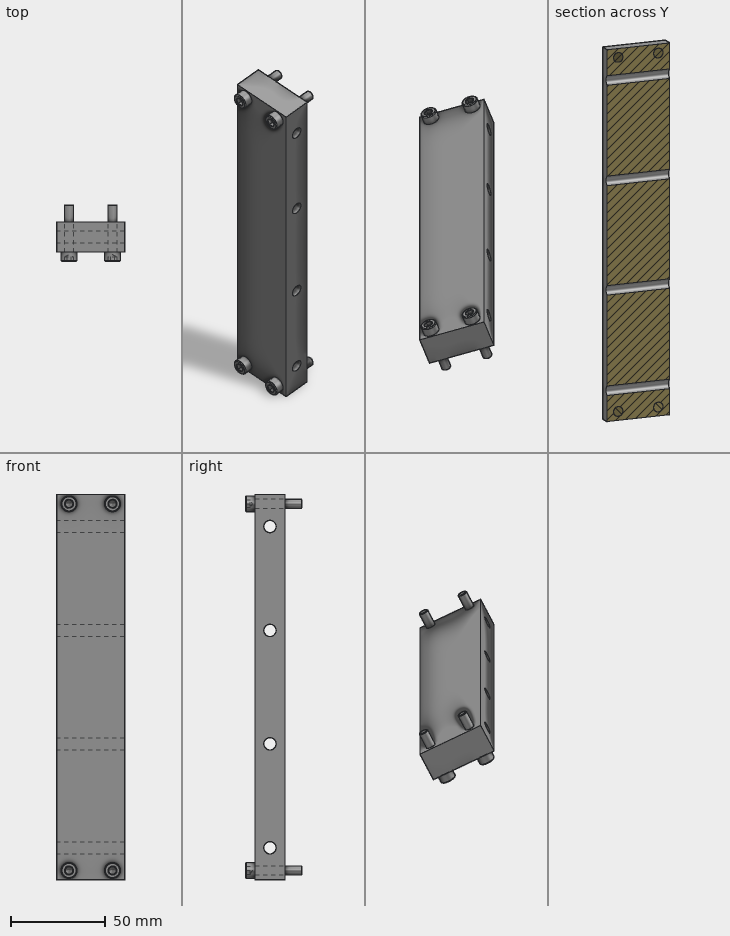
import cadquery as cq
import math

block_width = 36.0
block_depth = 16.0
block_height = 204.0
front_face_y = -block_depth / 2

cross_hole_diameter = 6.4
cross_hole_heights = [-85.0, -30.0, 30.0, 85.0]

screw_edge_x = 6.5
screw_edge_z = 5.0
screw_spacing_x = block_width - 2 * screw_edge_x
screw_spacing_z = block_height - 2 * screw_edge_z
shank_diameter = 5.0
shank_length = 25.0
shank_tip_diameter = 4.13
shank_tip_chamfer = (shank_diameter - shank_tip_diameter) / 2
head_diameter = 8.5
head_height = 5.0
head_chamfer = 0.5
head_top_y = front_face_y - head_height
socket_sides = 6
socket_across_flats = 4.0
socket_across_corners = socket_across_flats / math.cos(math.pi / socket_sides)
socket_depth = 2.5
socket_floor_half_angle = 60.0
socket_rim_half_angle = 45.0

screw_positions = [
    (side * screw_spacing_x / 2, end * screw_spacing_z / 2)
    for side in (-1, 1)
    for end in (-1, 1)
]


def front_plane(y):
    """Plane facing -Y at the given depth, with its local x and y along X and Z."""
    return cq.Workplane("XZ", origin=(0, y, 0))


def make_cone(base_diameter, base_y, half_angle):
    """Cone on the Y axis that narrows to a point toward +Y."""
    base_radius = base_diameter / 2
    length = base_radius / math.tan(math.radians(half_angle))
    cone = cq.Solid.makeCone(
        base_radius,
        0,
        length,
        pnt=cq.Vector(0, base_y, 0),
        dir=cq.Vector(0, 1, 0),
    )
    return cq.Workplane(cone)


def make_block():
    """Plain block with its cross holes and a close-fitting hole for each screw shank."""
    block = cq.Workplane("XY").box(block_width, block_depth, block_height)
    cross_holes = (
        cq.Workplane("YZ", origin=(-block_width / 2, 0, 0))
        .pushPoints([(0, height) for height in cross_hole_heights])
        .circle(cross_hole_diameter / 2)
        .extrude(block_width)
    )
    screw_holes = (
        front_plane(front_face_y)
        .pushPoints(screw_positions)
        .circle(shank_diameter / 2)
        .extrude(-block_depth)
    )
    return block.cut(cross_holes).cut(screw_holes)


def make_screw(x, z):
    """Cap screw with its head seated on the front face and its tip past the back face.

    The hexagon socket has two flats facing Z, a countersunk rim and a conical floor.
    """
    head = (
        front_plane(front_face_y)
        .circle(head_diameter / 2)
        .extrude(head_height)
        .faces("<Y")
        .chamfer(head_chamfer)
    )
    shank = (
        front_plane(front_face_y)
        .circle(shank_diameter / 2)
        .extrude(-shank_length)
        .faces(">Y")
        .chamfer(shank_tip_chamfer)
    )
    hexagon = (
        front_plane(head_top_y)
        .polygon(socket_sides, socket_across_corners)
        .extrude(-socket_depth)
    )
    floor_cone = make_cone(socket_across_flats, head_top_y + socket_depth, socket_floor_half_angle)
    rim_cone = make_cone(socket_across_corners, head_top_y, socket_rim_half_angle)
    screw = head.union(shank).cut(hexagon).cut(floor_cone).cut(rim_cone)
    return screw.translate((x, 0, z))


block = make_block()
screws = [make_screw(x, z) for x, z in screw_positions]

result = cq.Compound.makeCompound([block.val(), *[screw.val() for screw in screws]])